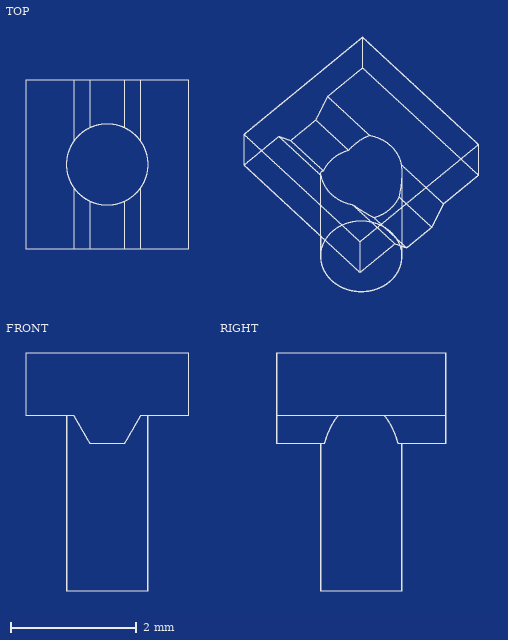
import cadquery as cq

width = 2.6
depth = 2.7
height = 3.8

head_height = 1.0
rib_height = 0.45
rib_top_width = 1.068
rib_bottom_width = 0.55

shank_diameter = 1.3

head_bottom = height - head_height
rib_bottom = head_bottom - rib_height


def make_head():
    """Head and rib as one profile in XZ, extruded along Y."""
    return (
        cq.Workplane("XZ")
        .moveTo(-width / 2, height)
        .lineTo(width / 2, height)
        .lineTo(width / 2, head_bottom)
        .lineTo(rib_top_width / 2, head_bottom)
        .lineTo(rib_bottom_width / 2, rib_bottom)
        .lineTo(-rib_bottom_width / 2, rib_bottom)
        .lineTo(-rib_top_width / 2, head_bottom)
        .lineTo(-width / 2, head_bottom)
        .close()
        .extrude(depth / 2, both=True)
    )


def make_shank():
    """Cylinder from Z = 0 up to the underside of the head."""
    return cq.Workplane("XY").circle(shank_diameter / 2).extrude(head_bottom)


result = make_head().union(make_shank())